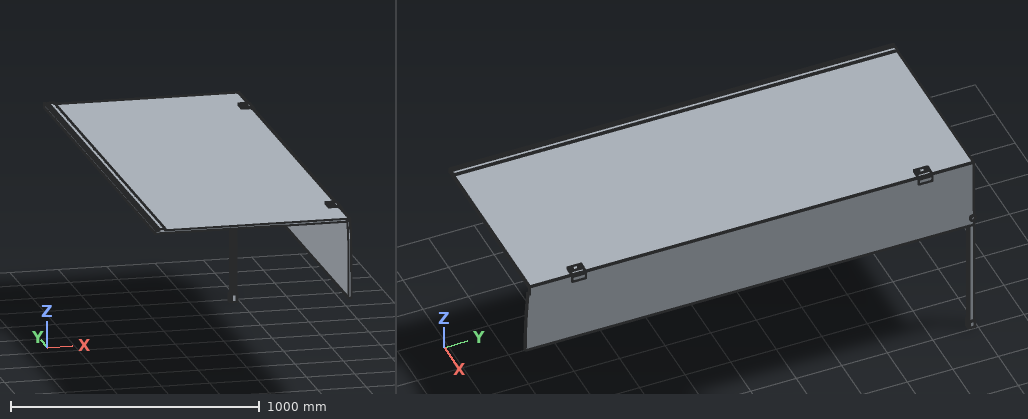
import cadquery as cq
import math

LENGTH = 1976.0
WIDTH = 812.0
HEIGHT = 875.0

GLASS = 12.0
EDGE_RISE = 5.0
PANEL_TOP = HEIGHT - EDGE_RISE
PANEL_BOTTOM = PANEL_TOP - GLASS
PANEL_START = 20.0
PANEL_END = 1968.0
SIDE_OUTER = 806.0
SIDE_INNER = SIDE_OUTER - GLASS
SIDE_BOTTOM = 543.0
MITRE_GAP = 4.0

LIP_RIGHT = 5.0
LIP_TAPER = 1.0
RIDGE_START = 18.0
RIDGE_END = 41.0

FLARE_TOP = 832.0
FLARE_START = 12.0

HINGE_LENGTH = 60.0
HINGE_INSET = 213.0
LEAF_LEFT = 760.0
LEAF_RIGHT = 786.0
CLAMP_LEFT = 767.0
CORNER_DROP = 2.0
HINGE_PLATE = 5.0
HINGE_BOTTOM = 822.0
COVER_TOP = 865.0
COVER_BOTTOM = 840.0
SCREW_DIAMETER = 12.0
SCREW_DEPTH = 3.0
SCREW_SPACING = 35.0
SCREW_X = 775.0
SCREW_Z = 838.0

POST_WIDTH = 22.0
POST_DEPTH = 22.0
POST_TOP = 609.0
POST_GAP = 2.0
POST_RIGHT = SIDE_INNER - POST_GAP
POST_LEFT = POST_RIGHT - POST_WIDTH
POST_X = (POST_LEFT + POST_RIGHT) / 2
POST_FRONT = LENGTH - POST_DEPTH
FOOT_WIDTH = 32.0
FOOT_DEPTH = 28.0
FOOT_HEIGHT = 32.0
FOOT_CHAMFER = 5.0
SLOT_WIDTH = 5.0
SLOT_DEPTH = 8.0
SLOT_TOP = 570.0
BOLT_DIAMETER = 12.0
KNOB_DIAMETER = 24.0
BOLT_Y = 1962.0
BOLT_Z = 583.0


def box(x_range, y_range, z_range):
    """Box between two limits along each axis."""
    sizes = [high - low for low, high in (x_range, y_range, z_range)]
    return cq.Workplane().box(*sizes, centered=False).translate((x_range[0], y_range[0], z_range[0]))


def rod(diameter, x_start, x_end):
    """Cylinder along X on the axis of the post bolt."""
    return (
        cq.Workplane("YZ", origin=(x_start, BOLT_Y, BOLT_Z))
        .circle(diameter / 2)
        .extrude(x_end - x_start)
    )


def make_top_panel():
    """Horizontal panel with a lip and a ridge on its free edge and a mitre on the other."""
    mitre_tip = SIDE_OUTER - MITRE_GAP
    return (
        cq.Workplane("XZ", origin=(0, PANEL_END, 0))
        .moveTo(0, PANEL_BOTTOM)
        .lineTo(mitre_tip - GLASS, PANEL_BOTTOM)
        .lineTo(mitre_tip, PANEL_TOP)
        .lineTo(RIDGE_END, PANEL_TOP)
        .lineTo(RIDGE_END, HEIGHT)
        .lineTo(RIDGE_START, HEIGHT)
        .lineTo(RIDGE_START, PANEL_TOP)
        .lineTo(LIP_RIGHT, PANEL_TOP)
        .lineTo(LIP_RIGHT, HEIGHT)
        .lineTo(LIP_TAPER, HEIGHT)
        .lineTo(0, PANEL_TOP)
        .close()
        .extrude(PANEL_END - PANEL_START)
    )


def make_side_glass():
    """Vertical panel with a curved flared end and a mitred top edge."""
    flare_height = FLARE_TOP - SIDE_BOTTOM
    flare_radius = (flare_height**2 + FLARE_START**2) / (2 * FLARE_START)
    flare_mid_z = SIDE_BOTTOM + flare_height / 2
    flare_mid_y = flare_radius - math.sqrt(flare_radius**2 - (flare_height / 2) ** 2)
    outline = (
        cq.Workplane("YZ", origin=(SIDE_INNER, 0, 0))
        .moveTo(PANEL_END, SIDE_BOTTOM)
        .lineTo(PANEL_END, PANEL_TOP)
        .lineTo(PANEL_START, PANEL_TOP)
        .lineTo(PANEL_START, FLARE_TOP)
        .lineTo(FLARE_START, FLARE_TOP)
        .threePointArc((flare_mid_y, flare_mid_z), (0, SIDE_BOTTOM))
        .close()
        .extrude(GLASS)
    )
    above_mitre = (
        cq.Workplane("XZ", origin=(0, LENGTH, 0))
        .moveTo(SIDE_INNER, PANEL_BOTTOM)
        .lineTo(SIDE_OUTER, PANEL_TOP)
        .lineTo(SIDE_INNER, PANEL_TOP)
        .close()
        .extrude(LENGTH)
    )
    return outline.cut(above_mitre).cut(rod(BOLT_DIAMETER, SIDE_INNER, SIDE_OUTER))


def make_hinge(center_y):
    """Hinge wrapped round the corner, clamping the top panel between two leaves."""
    y_range = (center_y - HINGE_LENGTH / 2, center_y + HINGE_LENGTH / 2)
    hinge = (
        box((LEAF_LEFT, LEAF_RIGHT), y_range, (PANEL_TOP, HEIGHT))
        .union(box((LEAF_RIGHT, SIDE_OUTER), y_range, (PANEL_BOTTOM, HEIGHT - CORNER_DROP)))
        .union(box((CLAMP_LEFT, SIDE_INNER), y_range, (PANEL_BOTTOM - HINGE_PLATE, PANEL_BOTTOM)))
        .union(box((SIDE_INNER - HINGE_PLATE, SIDE_INNER), y_range, (HINGE_BOTTOM, PANEL_BOTTOM)))
        .union(box((SIDE_OUTER, WIDTH), y_range, (COVER_BOTTOM, COVER_TOP)))
    )
    for side in (-1, 1):
        screw_y = center_y + side * SCREW_SPACING / 2
        top_screw = cq.Workplane("XY", origin=(SCREW_X, screw_y, HEIGHT))
        side_screw = cq.Workplane("YZ", origin=(SIDE_INNER - HINGE_PLATE, screw_y, SCREW_Z))
        hinge = hinge.cut(top_screw.circle(SCREW_DIAMETER / 2).extrude(-SCREW_DEPTH))
        hinge = hinge.cut(side_screw.circle(SCREW_DIAMETER / 2).extrude(SCREW_DEPTH))
    return hinge


def make_side_panel(top_panel):
    """Side panel carrying both hinges, fitted round the top panel."""
    panel = make_side_glass()
    for center_y in (PANEL_START + HINGE_INSET, PANEL_END - HINGE_INSET):
        panel = panel.union(make_hinge(center_y).cut(top_panel))
    return panel


def make_post():
    """Slotted support post with a foot, bolted through the side panel."""
    bar = box((POST_LEFT, POST_RIGHT), (POST_FRONT, LENGTH), (0, POST_TOP))
    slot_x = (POST_X - SLOT_WIDTH / 2, POST_X + SLOT_WIDTH / 2)
    bar = bar.cut(box(slot_x, (POST_FRONT, POST_FRONT + SLOT_DEPTH), (FOOT_HEIGHT, SLOT_TOP)))
    foot_x = (POST_X - FOOT_WIDTH / 2, POST_X + FOOT_WIDTH / 2)
    foot = box(foot_x, (LENGTH - FOOT_DEPTH, LENGTH), (0, FOOT_HEIGHT))
    foot = foot.edges("|Z and <Y").chamfer(FOOT_CHAMFER)
    bolt = rod(BOLT_DIAMETER, POST_X, SIDE_OUTER)
    knob = rod(KNOB_DIAMETER, SIDE_OUTER, WIDTH)
    return bar.union(foot).union(bolt).union(knob)


top_panel = make_top_panel()
side_panel = make_side_panel(top_panel)
post = make_post()

result = cq.Compound.makeCompound([top_panel.val(), side_panel.solids().val(), post.solids().val()])